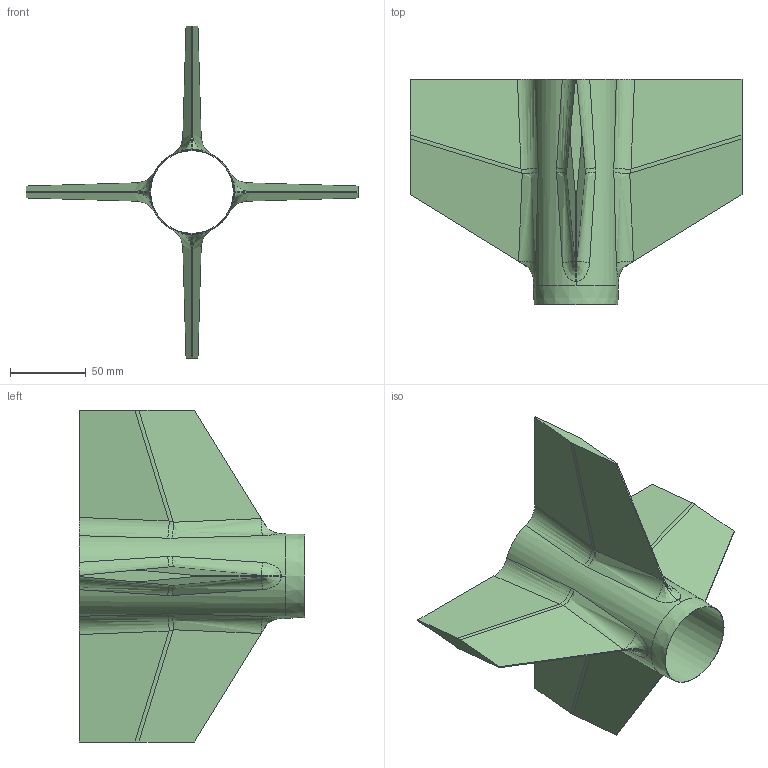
import cadquery as cq
import math

tube_length = 148.72
tube_radius = 28.1
bore_radius = 27.3
nose_length = 12.5
nose_drop = 0.6
barrel_length = tube_length - nose_length

fin_count = 4
tip_radius = 219.2 / 2
tip_chord = 76.0
sweep_slope = 0.615
edge_half_thickness = 0.4
wedge_slope = math.tan(math.radians(5.4))
ridge_radius = 12.7
root_radius = 12.7
fin_start_radius = tube_radius / 2

fin_pitch = 360 / fin_count
sector_angle = fin_pitch / 2
origin = cq.Vector(0, 0, 0)
tube_axis = cq.Vector(0, 1, 0)
tolerance = 0.01


def fin_chord(radius):
    return tip_chord + sweep_slope * (tip_radius - radius)


def ridge_half_thickness(radius):
    return edge_half_thickness + wedge_slope * fin_chord(radius) / 2


def half_fin_section(radius):
    """Corners of the upper half of the +X fin's section at a given distance from the axis."""
    chord = fin_chord(radius)
    return [
        cq.Vector(radius, 0, 0),
        cq.Vector(radius, 0, edge_half_thickness),
        cq.Vector(radius, -chord / 2, ridge_half_thickness(radius)),
        cq.Vector(radius, -chord, edge_half_thickness),
        cq.Vector(radius, -chord, 0),
    ]


def polygon_face(points):
    return cq.Face.makeFromWires(cq.Wire.makePolygon(points, close=True))


def make_half_fin():
    """Upper half of the +X fin, with flat flanks and a rounded ridge."""
    root = half_fin_section(fin_start_radius)
    tip = half_fin_section(tip_radius)
    faces = [polygon_face(root), polygon_face(tip)]
    for corner in range(len(root)):
        faces.append(polygon_face([root[corner - 1], root[corner], tip[corner], tip[corner - 1]]))
    fin = cq.Workplane(obj=cq.Solid.makeSolid(cq.Shell.makeShell(faces)))
    mid_radius = (fin_start_radius + tip_radius) / 2
    ridge_point = (mid_radius, -fin_chord(mid_radius) / 2, ridge_half_thickness(mid_radius))
    return fin.edges(cq.selectors.NearestToPointSelector(ridge_point)).fillet(ridge_radius)


def make_tube():
    """Whole bored tube without fins; the nose arc is tangent to the cylinder."""
    bend_radius = (nose_length**2 + nose_drop**2) / (2 * nose_drop)
    half_bend = math.asin(nose_length / bend_radius) / 2
    nose_middle = (
        -tube_radius + bend_radius * (1 - math.cos(half_bend)),
        -barrel_length - bend_radius * math.sin(half_bend),
    )
    return (
        cq.Workplane("XY")
        .moveTo(-bore_radius, 0)
        .lineTo(-tube_radius, 0)
        .lineTo(-tube_radius, -barrel_length)
        .threePointArc(nose_middle, (-tube_radius + nose_drop, -tube_length))
        .lineTo(-bore_radius, -tube_length)
        .close()
        .revolve(360, (0, 0, 0), (0, 1, 0))
    )


def make_barrel_sector():
    """Solid sector of the straight part of the tube, from +X towards +Z."""
    outline = cq.Workplane("XY").rect(tube_radius, -barrel_length, centered=False)
    return outline.revolve(sector_angle, (0, 0, 0), (0, -1, 0))


def is_root_edge(edge):
    """True for an edge where the half fin meets the tube surface, off the symmetry planes."""
    points = [edge.positionAt(place) for place in (0, 0.5, 1)]
    on_tube = all(abs(math.hypot(p.x, p.z) - tube_radius) < tolerance for p in points)
    middle = points[1]
    middle_angle = math.degrees(math.atan2(middle.z, middle.x))
    off_planes = tolerance < middle_angle < sector_angle - tolerance
    return on_tube and off_planes and edge.geomType() != "CIRCLE"


def make_half_unit():
    """Half a fin blended into its sector of the bored barrel."""
    joined = make_barrel_sector().union(make_half_fin())
    root_edges = [edge for edge in joined.edges().vals() if is_root_edge(edge)]
    filleted = joined.newObject(root_edges).fillet(root_radius)
    bore = cq.Workplane("XZ").circle(bore_radius).extrude(barrel_length)
    return filleted.cut(bore)


def plane_normal(angle):
    """Normal of the plane through the tube axis at an angle from +X towards +Z."""
    turn = math.radians(angle)
    return cq.Vector(-math.sin(turn), 0, math.cos(turn))


def lies_in_plane(face, normal, offset=0):
    parallel = abs(face.normalAt().dot(normal)) > 1 - tolerance
    return is_flat(face) and parallel and abs(face.Center().dot(normal) - offset) < tolerance


def is_flat(face):
    return face.geomType() == "PLANE"


def is_bore(face):
    """True for a cylindrical face whose corners all lie at the bore radius."""
    corners = [vertex.Center() for vertex in face.Vertices()]
    at_bore = all(abs(math.hypot(p.x, p.z) - bore_radius) < tolerance for p in corners)
    return face.geomType() == "CYLINDER" and at_bore


def is_half_unit_skin(face):
    """True for outer faces: not a symmetry plane, the bore, or the joint with the nose."""
    is_split = any(lies_in_plane(face, plane_normal(angle)) for angle in (0, sector_angle))
    is_joint = lies_in_plane(face, tube_axis, -barrel_length)
    return not (is_split or is_joint or is_bore(face))


def barrel_skin():
    """Outer faces of the barrel and all fins, with seams on flat and round faces removed."""
    half_skin = [face for face in make_half_unit().faces().vals() if is_half_unit_skin(face)]
    reflected = [face.mirror(plane_normal(sector_angle)) for face in half_skin]
    quarter = cq.Shell.makeShell(half_skin + reflected).clean()
    faces = []
    for index in range(fin_count):
        faces.extend(quarter.rotate(origin, tube_axis, index * fin_pitch).Faces())
    flat_faces = [face for face in faces if is_flat(face)]
    other_faces = [face for face in faces if not is_flat(face)]
    return cq.Shell.makeShell(flat_faces).clean().Faces() + other_faces


def bore_and_nose_skin():
    """Bore, nose and front ring of the tube, each one unbroken face."""
    faces = make_tube().faces().vals()
    front_ring = [face for face in faces if lies_in_plane(face, tube_axis, -tube_length)]
    round_faces = [face for face in faces if is_bore(face) or face.geomType() == "REVOLUTION"]
    return front_ring + round_faces


skin = cq.Shell.makeShell(barrel_skin() + bore_and_nose_skin())
result = cq.Workplane(obj=cq.Solid.makeSolid(skin))